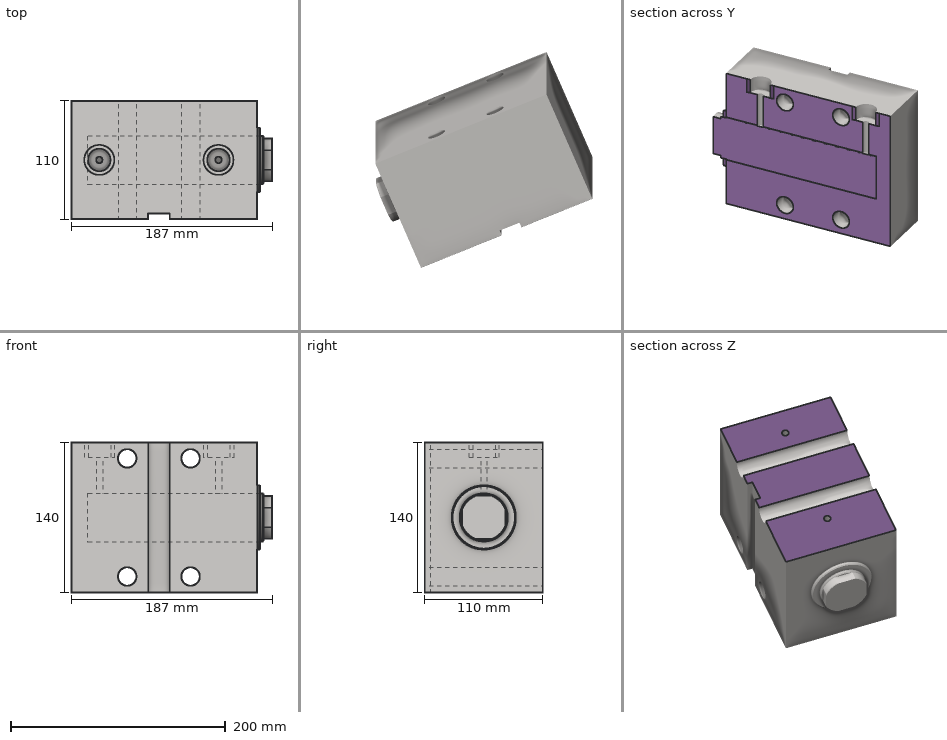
import cadquery as cq

length = 173.0
width = 110.0
height = 140.0
front_bevel = 0.2

key_x = 81.5
key_width = 20.0
key_depth = 5.0

bolt_diameter = 17.0
bolt_spacing_x = 59.0
bolt_spacing_z = 110.0

port_xs = (26.0, 137.0)
sleeve_diameter = 28.0
port_diameter = 21.0
port_depth = 14.0
oil_hole_diameter = 6.0

rod_diameter = 45.0
rod_start = 15.0
shoulder_x = length + 6.0
shoulder_bevel = 1.0
rod_end_x = 187.0
rod_end_diameter = 44.0
rod_end_bevel = 0.5
across_flats = 40.0

collar_diameter = 60.0
collar_thickness = 3.0
collar_bevel = 1.0


def cylinder_x(diameter, start, end):
    """Cylinder on the rod axis between two X positions."""
    return cq.Workplane("YZ", origin=(start, 0, 0)).circle(diameter / 2).extrude(end - start)


def cylinder_down(diameter, x, depth):
    """Cylinder reaching down from the top face above the rod axis."""
    return cq.Workplane("XY", origin=(x, 0, height / 2)).circle(diameter / 2).extrude(-depth)


def make_housing():
    block = cq.Workplane("XY").box(length, width, height).translate((length / 2, 0, 0))
    block = block.faces("<Y").edges("|X").chamfer(front_bevel)

    key_y = (key_depth - width) / 2
    keyway = cq.Workplane("XY").box(key_width, key_depth, height).translate((key_x, key_y, 0))
    block = block.cut(keyway)

    bolt_holes = (
        cq.Workplane("XZ", origin=(key_x, width / 2, 0))
        .rarray(bolt_spacing_x, bolt_spacing_z, 2, 2)
        .circle(bolt_diameter / 2)
        .extrude(width)
    )
    block = block.cut(bolt_holes)

    for x in port_xs:
        block = block.cut(cylinder_down(sleeve_diameter, x, port_depth))
        block = block.cut(cylinder_down(oil_hole_diameter, x, height / 2))

    return block.cut(cylinder_x(rod_diameter, rod_start, length))


def make_port_sleeve(x):
    sleeve = cylinder_down(sleeve_diameter, x, port_depth)
    return sleeve.cut(cylinder_down(port_diameter, x, port_depth))


def make_rod():
    shaft = cylinder_x(rod_diameter, rod_start, shoulder_x)
    shaft = shaft.faces(">X").chamfer(shoulder_bevel)

    end = cylinder_x(rod_end_diameter, shoulder_x, rod_end_x)
    end = end.faces(">X").chamfer(rod_end_bevel)
    square_bar = (
        cq.Workplane("YZ", origin=(shoulder_x, 0, 0))
        .rect(across_flats, across_flats)
        .extrude(rod_end_x - shoulder_x)
    )
    return shaft.union(end.intersect(square_bar))


def make_collar():
    collar_end = length + collar_thickness
    collar = cylinder_x(collar_diameter, length, collar_end)
    collar = collar.faces(">X").chamfer(collar_bevel)
    return collar.cut(cylinder_x(rod_diameter, length, collar_end))


housing = make_housing()
port_sleeves = [make_port_sleeve(x) for x in port_xs]
rod = make_rod()
collar = make_collar()

result = cq.Compound.makeCompound(
    [
        housing.val(),
        *[sleeve.val() for sleeve in port_sleeves],
        rod.val(),
        collar.val(),
    ]
)